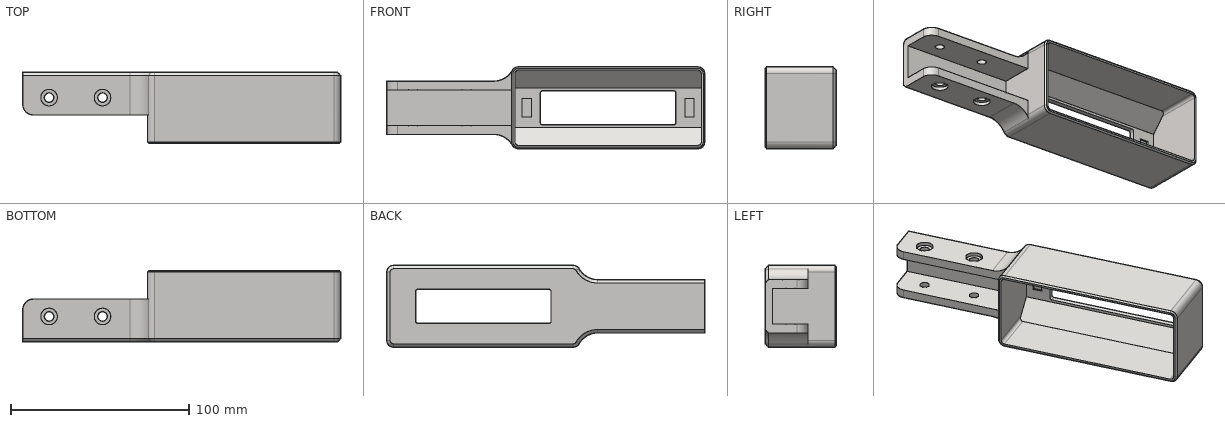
import cadquery as cq

total_length = 178.5
box_length = 108.5
box_height = 46.0
box_depth = 40.0
corner_radius = 4.0
wall = 2.0
inner_corner_radius = corner_radius - wall
back_chamfer = 2.0
lip_chamfer = 0.9
box_left = total_length - box_length
box_center_x = box_left + box_length / 2

floor_thickness = 3.0
floor_height = 22.0
cavity_length = box_length - 2 * wall
cavity_height = box_height - 2 * wall
slope_depth = (cavity_height - floor_height) / 2

window_length = 75.9
window_height = 19.0
window_corner_radius = 1.0
pocket_length = 5.2
pocket_height = 10.4
pocket_depth = 1.0
pocket_spacing = 91.2

arm_height = 30.0
arm_depth = 24.1
arm_corner_radius = 6.0
slot_height = 20.0
slot_back_wall = 4.3
flare_radius = 12.0

hole_diameter = 5.2
counterbore_diameter = 9.3
counterbore_depth = 2.0
hole_positions_x = (14.8, 44.8)
hole_y = -14.3


def block(x_min, x_max, y_min, y_max, height):
    """Block centred on Z = 0."""
    center = ((x_min + x_max) / 2, (y_min + y_max) / 2, 0)
    return cq.Workplane("XY").box(x_max - x_min, y_max - y_min, height).translate(center)


def make_box():
    outer = block(box_left, total_length, -box_depth, 0, box_height)
    return outer.edges("|Y").fillet(corner_radius)


def make_arm():
    """Solid handle whose top and bottom flare tangentially into the box corners."""
    half_arm = arm_height / 2
    corner_x = box_left + corner_radius
    corner_z = box_height / 2 - corner_radius
    flare_z = half_arm + flare_radius
    center_distance = flare_radius + corner_radius
    drop = flare_z - corner_z
    run = (center_distance**2 - drop**2) ** 0.5
    flare_x = corner_x - run

    dir_x = run / center_distance
    dir_z = -drop / center_distance
    tangent_x = flare_x + flare_radius * dir_x
    tangent_z = flare_z + flare_radius * dir_z

    bisector_length = (dir_x**2 + (dir_z - 1) ** 2) ** 0.5
    middle_x = flare_x + flare_radius * dir_x / bisector_length
    middle_z = flare_z + flare_radius * (dir_z - 1) / bisector_length

    arm = (
        cq.Workplane("XZ")
        .moveTo(0, -half_arm)
        .lineTo(flare_x, -half_arm)
        .threePointArc((middle_x, -middle_z), (tangent_x, -tangent_z))
        .lineTo(corner_x, -tangent_z)
        .lineTo(corner_x, tangent_z)
        .lineTo(tangent_x, tangent_z)
        .threePointArc((middle_x, middle_z), (flare_x, half_arm))
        .lineTo(0, half_arm)
        .close()
        .extrude(arm_depth)
    )
    return arm.edges("|Z and <X and <Y").fillet(arm_corner_radius)


def make_slot():
    return block(0, box_left, -arm_depth, -slot_back_wall, slot_height)


def make_cavity():
    slope_front_y = -floor_thickness - slope_depth
    half_cavity = cavity_height / 2
    half_floor = floor_height / 2
    profile = [
        (-box_depth, -half_cavity),
        (slope_front_y, -half_cavity),
        (-floor_thickness, -half_floor),
        (-floor_thickness, half_floor),
        (slope_front_y, half_cavity),
        (-box_depth, half_cavity),
    ]
    trough = cq.Workplane("YZ").polyline(profile).close().extrude(cavity_length)
    trough = trough.translate((box_left + wall, 0, 0))
    rounded = block(box_left + wall, total_length - wall, -box_depth, 0, cavity_height)
    return trough.intersect(rounded.edges("|Y").fillet(inner_corner_radius))


def make_window():
    half_length = window_length / 2
    window = block(
        box_center_x - half_length, box_center_x + half_length, -floor_thickness, 0, window_height
    )
    return window.edges("|Y").fillet(window_corner_radius)


def make_pocket(center_x):
    half_length = pocket_length / 2
    pocket_bottom = pocket_depth - floor_thickness
    return block(
        center_x - half_length, center_x + half_length, -floor_thickness, pocket_bottom, pocket_height
    )


def make_screw_hole(x):
    """Through hole with a counterbore in each outer face of the fork."""
    hole = cq.Workplane("XY").circle(hole_diameter / 2).extrude(arm_height / 2, both=True)
    counterbore = (
        cq.Workplane("XY")
        .workplane(offset=arm_height / 2 - counterbore_depth)
        .circle(counterbore_diameter / 2)
        .extrude(counterbore_depth)
    )
    hole = hole.union(counterbore).union(counterbore.mirror("XY"))
    return hole.translate((x, hole_y, 0))


body = make_box().union(make_arm())

body = body.faces(">Y").edges("not <X").chamfer(back_chamfer)
body = body.faces("<Y").edges().chamfer(lip_chamfer)

body = body.cut(make_slot()).cut(make_cavity()).cut(make_window())
for side in (-1, 1):
    body = body.cut(make_pocket(box_center_x + side * pocket_spacing / 2))
for hole_x in hole_positions_x:
    body = body.cut(make_screw_hole(hole_x))

result = body